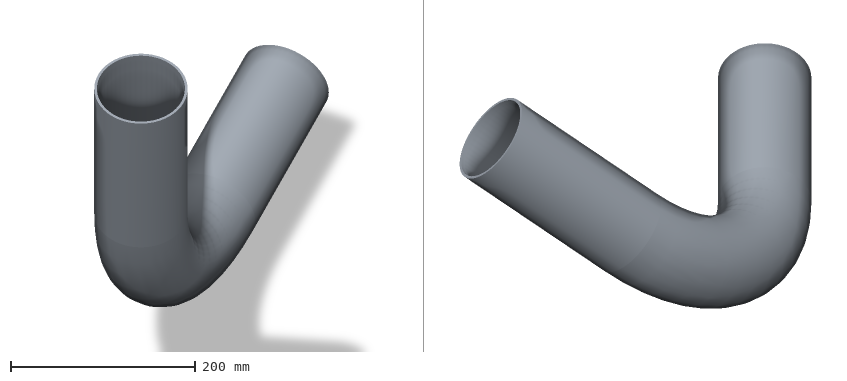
import cadquery as cq

overall_size = 451.0
outer_diameter = 101.5
inner_diameter = 95.5
leg_length = 203.0

bend_radius = overall_size - leg_length - outer_diameter / 2
bend_angle = 90


def tube_section(plane):
    """Ring-shaped cross-section of the pipe, centred on the plane's origin."""
    return cq.Workplane(plane).circle(outer_diameter / 2).circle(inner_diameter / 2)


bend_top = cq.Plane.XY(origin=(0, 0, bend_radius))
bend_end = cq.Plane(origin=(0, bend_radius, 0), xDir=(1, 0, 0), normal=(0, 1, 0))

vertical_leg = tube_section(bend_top).extrude(leg_length)
horizontal_leg = tube_section(bend_end).extrude(leg_length)

elbow = tube_section(bend_top).revolve(bend_angle, (0, bend_radius, 0), (1, bend_radius, 0))

result = vertical_leg.union(elbow).union(horizontal_leg)